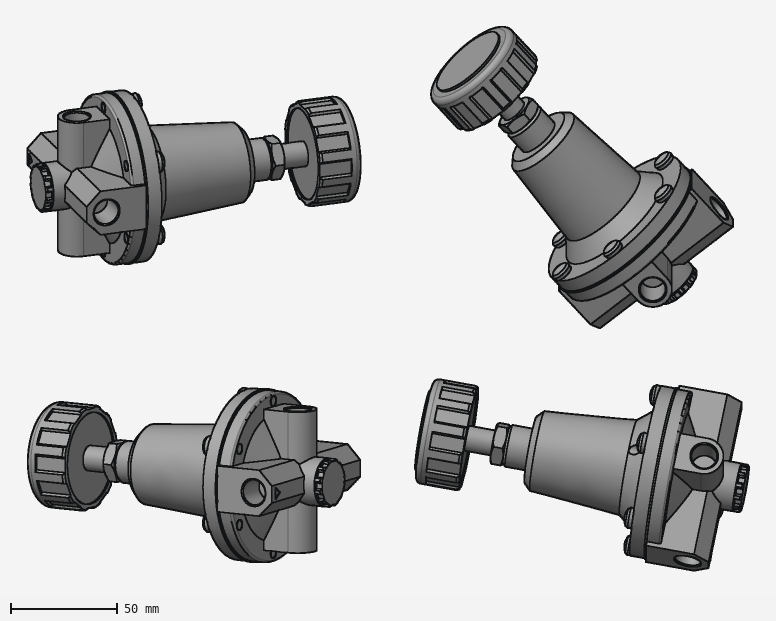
import cadquery as cq
import math


CAP_END_Y = -19.5
CAP_GRIP_Y = -15.7
BODY_FACE_Y = 13.1
RIM_START_Y = 19.9
RIM_END_Y = 20.8
FLANGE_END_Y = 27.8
BONNET_FOOT_Y = 36.3
BONNET_END_Y = 83.2
NECK_END_Y = 94.8
NUT_END_Y = 100.8
KNOB_START_Y = 112.9
KNOB_COLLAR_Y = 128.6
KNOB_SHOULDER_Y = 133.9
KNOB_END_Y = 135.0

BODY_FLANGE_DIA = 80.9
BODY_FLANGE_ROUND = 1.1
BODY_CONE_RADIUS = 30.3
BODY_CONE_ANGLE = 30

RIM_DIA = 82.0
BONNET_FLANGE_DIA = 81.4
BONNET_SKIRT_RADIUS = 29.8
BONNET_FOOT_RADIUS = 22.9
BONNET_TOP_RADIUS = 19.1
BONNET_CHAMFER = 3.2

BAR_LENGTH = RIM_DIA
BAR_HEIGHT = 22.0
BAR_FRONT_Y = -10.0
BAR_CHAMFER = 7.0
CROSS_LENGTH = 67.3
CROSS_WIDTH = 18.0
PORT_DIA = 12.0
PORT_MOUTH_DIA = 13.3
PORT_DEPTH = 15.5

ARROW_BASE_X = -37.8
ARROW_TIP_X = -34.0
ARROW_WIDTH = 5.2
ARROW_HEIGHT = 0.3

CAP_DIA = 23.0
CAP_GRIP_DIA = 22.9
CAP_FLUTES = 12
CAP_FLUTE_WIDTH = 4.3
CAP_FLUTE_DEPTH = 1.1
CAP_FLUTE_INSET = 0.6
CAP_CHAMFER = 0.8

SCREWS = 6
SCREW_CIRCLE_RADIUS = 36.3
SCREW_HEAD_DIA = 9.9
SCREW_SEAT_DIA = 9.3
SCREW_DOME_DIA = 8.3
SCREW_WIDEST_HEIGHT = 1.9
SCREW_DOME_HEIGHT = 3.1
SCREW_HEAD_HEIGHT = 4.3
SCREW_HOLE_DIA = 5.0
SCREW_RECESS = 0.3

VENT_DIA = 5.0
VENT_RADIUS = 25.5

NECK_DIA = 20.0
NECK_CHAMFER = 1.2
NUT_FLATS = 18.2
NUT_BEVEL_DIA = 17.9
NUT_BEVEL_ANGLE = 30
SPINDLE_DIA = 12.0

KNOB_DIA = 50.0
KNOB_ROUND = 2.8
KNOB_TOP_DIA = 38.0
KNOB_FLUTES = 12
KNOB_FLUTE_WIDTH = 8.6
KNOB_FLUTE_DEPTH = 1.4
KNOB_BEVEL_LENGTH = 1.2
KNOB_BEVEL_DEPTH = 0.6
KNOB_RECESS_DIA = 43.5
KNOB_RECESS_DEPTH = 0.8

OVERLAP = 1.5


def turned(points):
    """Solid of revolution about Y from (radius, y) points; the axis closes the outline."""
    outline = [(0, points[0][1])] + points + [(0, points[-1][1])]
    return cq.Workplane("XY").polyline(outline).close().revolve(360, (0, 0, 0), (0, 1, 0))


def rod(diameter, start_y, end_y):
    """Cylinder on the main axis."""
    return turned([(diameter / 2, start_y), (diameter / 2, end_y)])


def around_axis(shape, count, start_angle=0):
    """Evenly spaced copies of a shape about the main axis."""
    copies = cq.Workplane("XY")
    for index in range(count):
        angle = start_angle + index * 360 / count
        copies = copies.add(shape.rotate((0, 0, 0), (0, 1, 0), angle))
    return copies.combine()


def extruded_along_y(outline, start_y, end_y):
    """Close an outline drawn on an XZ workplane at the origin and extrude it between two Y values."""
    return outline.close().extrude(start_y - end_y).translate((0, start_y, 0))


def make_body():
    flange = rod(BODY_FLANGE_DIA, BODY_FACE_Y, RIM_START_Y)
    flange = flange.faces("<Y").edges().fillet(BODY_FLANGE_ROUND)
    cone_tip_radius = BODY_CONE_RADIUS - BODY_FACE_Y / math.tan(math.radians(BODY_CONE_ANGLE))
    cone = turned([(cone_tip_radius, 0), (BODY_CONE_RADIUS, BODY_FACE_Y), (BODY_CONE_RADIUS, RIM_START_Y)])
    return flange.union(cone)


def make_bar():
    bar = cq.Workplane("XY").box(BAR_LENGTH, RIM_START_Y - BAR_FRONT_Y, BAR_HEIGHT)
    bar = bar.faces("<Y").edges("|X").chamfer(BAR_CHAMFER)
    return bar.translate((0, (RIM_START_Y + BAR_FRONT_Y) / 2, 0))


def make_cross():
    radius = CROSS_WIDTH / 2
    back_y = BODY_FACE_Y + OVERLAP
    cross = (
        cq.Workplane("XY")
        .moveTo(-radius, back_y)
        .lineTo(-radius, 0)
        .threePointArc((0, -radius), (radius, 0))
        .lineTo(radius, back_y)
        .close()
        .extrude(CROSS_LENGTH / 2, both=True)
    )
    return cross


def make_port_cutter(end_distance):
    """Blind port with a countersunk mouth, its axis along +Z and its mouth at end_distance."""
    mouth_depth = (PORT_MOUTH_DIA - PORT_DIA) / 2
    bore = cq.Workplane("XY").workplane(offset=end_distance).circle(PORT_DIA / 2).extrude(-PORT_DEPTH)
    mouth = cq.Workplane("XY").workplane(offset=end_distance).circle(PORT_MOUTH_DIA / 2)
    return bore.union(mouth.extrude(-mouth_depth, taper=45))


def make_arrow():
    outline = cq.Workplane("XZ").polyline(
        [(ARROW_BASE_X, -ARROW_WIDTH / 2), (ARROW_TIP_X, 0), (ARROW_BASE_X, ARROW_WIDTH / 2)]
    )
    return extruded_along_y(outline, BAR_FRONT_Y - ARROW_HEIGHT, BAR_FRONT_Y + OVERLAP)


def make_flutes(count, diameter, width, depth, start_y, end_y):
    """Cutters for straight flutes with a flat floor and sides sloping at 45 degrees.

    The depth is measured from the full radius, the width across the edges at the surface.
    """
    radius = diameter / 2
    edge = math.sqrt(radius**2 - (width / 2) ** 2)
    floor = radius - depth
    floor_half = width / 2 - (edge - floor)
    outer = radius + OVERLAP
    outer_half = floor_half + outer - floor
    outline = cq.Workplane("XZ").polyline(
        [(floor, -floor_half), (outer, -outer_half), (outer, outer_half), (floor, floor_half)]
    )
    return around_axis(extruded_along_y(outline, start_y, end_y), count)


def make_cap():
    grip = rod(CAP_GRIP_DIA, CAP_END_Y, CAP_GRIP_Y).faces("<Y").edges().chamfer(CAP_CHAMFER)
    flutes = make_flutes(
        CAP_FLUTES, CAP_GRIP_DIA, CAP_FLUTE_WIDTH, CAP_FLUTE_DEPTH, CAP_END_Y, CAP_GRIP_Y - CAP_FLUTE_INSET
    )
    return grip.cut(flutes).union(rod(CAP_DIA, CAP_GRIP_Y, 0))


def make_bonnet():
    top_edge_radius = BONNET_TOP_RADIUS - BONNET_CHAMFER
    bonnet = turned(
        [
            (RIM_DIA / 2, RIM_START_Y),
            (RIM_DIA / 2, RIM_END_Y),
            (BONNET_FLANGE_DIA / 2, RIM_END_Y),
            (BONNET_FLANGE_DIA / 2, FLANGE_END_Y),
            (BONNET_SKIRT_RADIUS, FLANGE_END_Y),
            (BONNET_FOOT_RADIUS, BONNET_FOOT_Y),
            (BONNET_TOP_RADIUS, BONNET_END_Y - BONNET_CHAMFER),
            (top_edge_radius, BONNET_END_Y),
        ]
    )
    vent = rod(VENT_DIA, FLANGE_END_Y, BONNET_FOOT_Y).translate((0, 0, VENT_RADIUS))
    return bonnet.cut(vent)


def make_screw_head():
    """Screw head, widest part way up, narrowing to a shallow dome."""
    widest_y = FLANGE_END_Y + SCREW_WIDEST_HEIGHT
    dome_y = FLANGE_END_Y + SCREW_DOME_HEIGHT
    top_y = FLANGE_END_Y + SCREW_HEAD_HEIGHT
    dome_edge = SCREW_DOME_DIA / 2
    dome_rise = top_y - dome_y
    dome_radius = (dome_edge**2 + dome_rise**2) / (2 * dome_rise)
    middle_radius = dome_edge / 2
    middle_y = top_y - dome_radius + math.sqrt(dome_radius**2 - middle_radius**2)
    head = (
        cq.Workplane("XY")
        .moveTo(0, FLANGE_END_Y)
        .lineTo(SCREW_SEAT_DIA / 2, FLANGE_END_Y)
        .lineTo(SCREW_HEAD_DIA / 2, widest_y)
        .lineTo(dome_edge, dome_y)
        .threePointArc((middle_radius, middle_y), (0, top_y))
        .close()
        .revolve(360, (0, 0, 0), (0, 1, 0))
    )
    return head.translate((0, 0, SCREW_CIRCLE_RADIUS))


def make_screw_recess():
    recess = rod(SCREW_HOLE_DIA, BODY_FACE_Y, BODY_FACE_Y + SCREW_RECESS)
    return recess.translate((0, 0, SCREW_CIRCLE_RADIUS))


def make_nut():
    corner_dia = NUT_FLATS / math.cos(math.radians(30))
    outline = cq.Workplane("XZ").polygon(6, corner_dia)
    nut = outline.extrude(NECK_END_Y - NUT_END_Y).translate((0, NECK_END_Y, 0))
    bevel = (corner_dia - NUT_BEVEL_DIA) / 2 * math.tan(math.radians(NUT_BEVEL_ANGLE))
    blank = turned(
        [
            (NUT_BEVEL_DIA / 2, NECK_END_Y),
            (corner_dia / 2, NECK_END_Y + bevel),
            (corner_dia / 2, NUT_END_Y - bevel),
            (NUT_BEVEL_DIA / 2, NUT_END_Y),
        ]
    )
    return nut.intersect(blank)


def make_neck():
    neck = rod(NECK_DIA, BONNET_END_Y, NECK_END_Y).faces(">Y").edges().chamfer(NECK_CHAMFER)
    return neck.union(rod(SPINDLE_DIA, BONNET_END_Y, KNOB_START_Y + OVERLAP))


def make_knob():
    radius = KNOB_DIA / 2
    knob = turned(
        [
            (radius - KNOB_BEVEL_DEPTH, KNOB_START_Y),
            (radius, KNOB_START_Y + KNOB_BEVEL_LENGTH),
            (radius, KNOB_SHOULDER_Y),
        ]
    )
    knob = knob.faces(">Y").edges().fillet(KNOB_ROUND)
    flutes = make_flutes(
        KNOB_FLUTES, KNOB_DIA, KNOB_FLUTE_WIDTH, KNOB_FLUTE_DEPTH, KNOB_START_Y, KNOB_COLLAR_Y
    )
    recess = rod(KNOB_RECESS_DIA, KNOB_START_Y, KNOB_START_Y + KNOB_RECESS_DEPTH)
    top = rod(KNOB_TOP_DIA, KNOB_SHOULDER_Y, KNOB_END_Y)
    return knob.cut(flutes).cut(recess).union(top)


result = make_body().union(make_bar()).union(make_cross()).union(make_cap()).union(make_arrow())
for end_distance, first_angle in ((CROSS_LENGTH / 2, 0), (BAR_LENGTH / 2, 90)):
    result = result.cut(around_axis(make_port_cutter(end_distance), 2, first_angle))
result = result.cut(around_axis(make_screw_recess(), SCREWS))
result = result.union(make_bonnet()).union(around_axis(make_screw_head(), SCREWS))
result = result.union(make_neck()).union(make_nut()).union(make_knob())